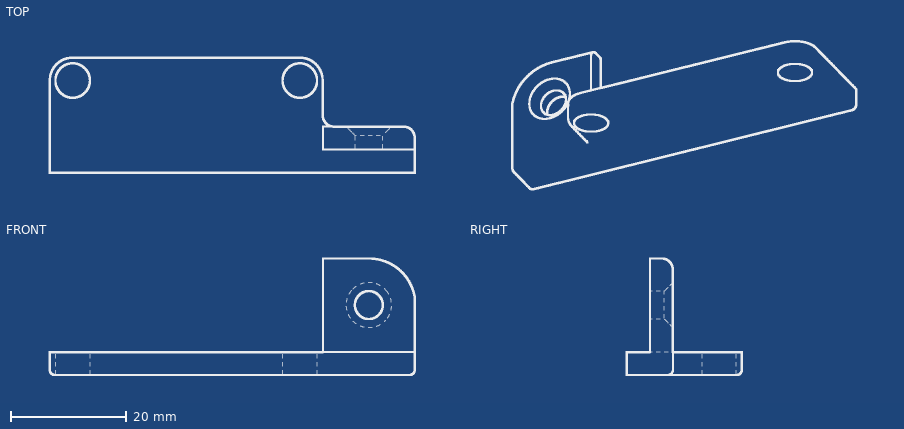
import cadquery as cq
import math

length = 63.5
plate_width = 20.1
plate_thickness = 4.0
corner_radius = 4.0
arm_length = 16.0
arm_width = 8.05
edge_radius = 2.0
bottom_radius = 0.95
mount_hole_diameter = 6.0

total_height = 20.3
tab_thickness = 4.0
tab_hole_diameter = 4.8
tab_radius = 8.1
bore_depth = 2.5

step_x = length - arm_length
tab_center_x = length - arm_length / 2
tab_center_z = total_height - tab_radius

arc_end_z = tab_center_z + math.sqrt(tab_radius**2 - (arm_length / 2) ** 2)
countersink_depth = tab_thickness - bore_depth
countersink_diameter = tab_hole_diameter + 2 * countersink_depth


def vertical_edge_at(x, y):
    """Select the upright plate edge at the given plan position."""
    reach = 0.05
    return cq.selectors.BoxSelector(
        (x - reach, y - reach, 0),
        (x + reach, y + reach, plate_thickness),
    )


def make_plate():
    plate = (
        cq.Workplane("XY")
        .polyline([
            (0, 0),
            (length, 0),
            (length, arm_width),
            (step_x, arm_width),
            (step_x, plate_width),
            (0, plate_width),
        ])
        .close()
        .extrude(plate_thickness)
    )
    for x in (0, step_x):
        plate = plate.edges(vertical_edge_at(x, plate_width)).fillet(corner_radius)
    for x in (step_x, length):
        plate = plate.edges(vertical_edge_at(x, arm_width)).fillet(edge_radius)

    plate = plate.faces("<Z").edges("not(<Y)").fillet(bottom_radius)

    hole_centers = [
        (corner_radius, plate_width - corner_radius),
        (step_x - corner_radius, plate_width - corner_radius),
    ]
    holes = (
        cq.Workplane("XY")
        .pushPoints(hole_centers)
        .circle(mount_hole_diameter / 2)
        .extrude(plate_thickness)
    )
    return plate.cut(holes)


def make_tab():
    back = cq.Workplane("XZ", origin=(0, arm_width, 0))
    tab = (
        back.moveTo(step_x, plate_thickness)
        .lineTo(length, plate_thickness)
        .lineTo(length, arc_end_z)
        .radiusArc((tab_center_x, total_height), -tab_radius)
        .lineTo(step_x, total_height)
        .close()
        .extrude(tab_thickness)
    )
    tab = tab.faces(">Y").edges("not(<X or <Z)").fillet(edge_radius)
    hole = (
        back.center(tab_center_x, tab_center_z)
        .circle(tab_hole_diameter / 2)
        .extrude(tab_thickness)
    )
    countersink = (
        back.center(tab_center_x, tab_center_z)
        .circle(countersink_diameter / 2)
        .workplane(offset=countersink_depth)
        .circle(tab_hole_diameter / 2)
        .loft()
    )
    return tab.cut(hole).cut(countersink)


result = make_plate().union(make_tab())